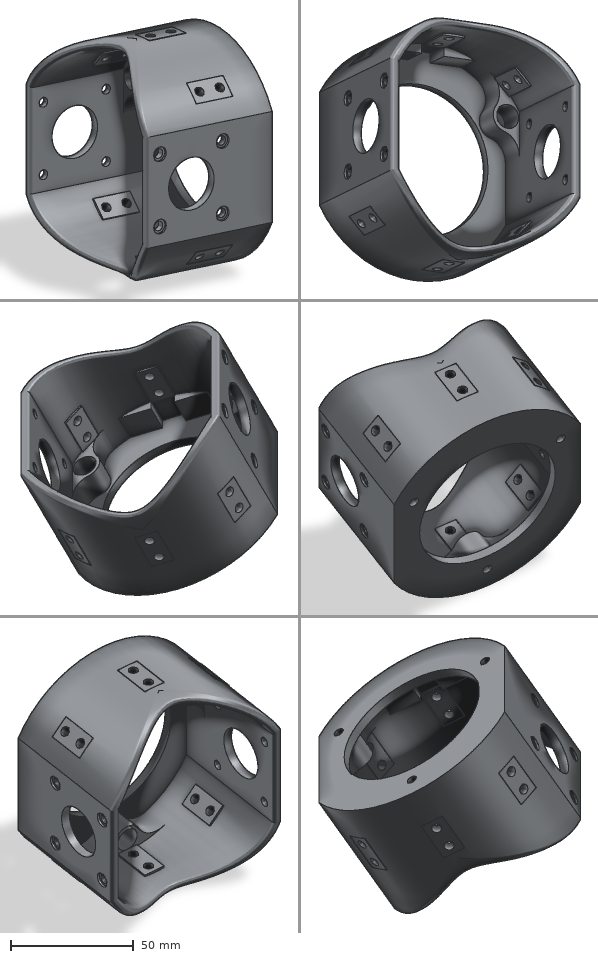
import cadquery as cq
import math

OUTER_RADIUS = 50.0
INNER_RADIUS = 46.0
OUTER_FLAT = 44.0
WALL = OUTER_RADIUS - INNER_RADIUS
INNER_FLAT = OUTER_FLAT - WALL
LENGTH = 62.0
NOSE_RADIUS = OUTER_RADIUS / 2
RIM_FILLET = 1.5

PLATE_THICKNESS = WALL
PLATE_BORE = 64.0

BOSS_ANGLES = (30, 150, 270)
BOSS_CIRCLE_RADIUS = 40.0
BOSS_RADIUS = 6.7
BOSS_BLEND_RADIUS = 10.0
BOSS_HEIGHT = 12.0
BOSS_TOP = PLATE_THICKNESS + BOSS_HEIGHT
BOSS_HOLE = 4.2
BOSS_COUNTERBORE = 10.1
BOSS_COUNTERBORE_DEPTH = BOSS_HEIGHT

PAD_ANGLES = (45, 90, 135, 225, 270, 315)
PAD_WIDTH = 10.0
PAD_LENGTH = 18.0
PAD_MIDDLE = 25.0
PAD_INNER_FACE = 45.0
PAD_OUTER_FACE = OUTER_RADIUS
PAD_HOLE = 4.1
PAD_HOLE_SPACING = 10.0

MOTOR_MIDDLE = 40.0
MOTOR_BORE = 22.5
MOTOR_HOLE = 4.1
MOTOR_HOLE_SPACING = 31.0
MOTOR_COUNTERBORE = 6.2
MOTOR_COUNTERBORE_DEPTH = 1.0

LEDGE_UNDERSIDE = 41.6
LEDGE_GAP = 10.4
LEDGE_DEPTH = BOSS_HEIGHT

TOLERANCE = 0.01


def plane_at(distance):
    """Workplane across the shell, the given distance from its back end, facing the front."""
    return cq.Workplane("XZ", origin=(0, -distance, 0))


def polar(radius, angle):
    """Point at a radius and an angle in radians, in the plane across the shell."""
    return (radius * math.cos(angle), radius * math.sin(angle))


def flatted_bar(radius, flat, start, end):
    """Round bar along the shell axis with its two X sides cut flat."""
    round_bar = plane_at(start).circle(radius).extrude(end - start)
    slab = plane_at(start).rect(2 * flat, 2 * radius).extrude(end - start)
    return round_bar.intersect(slab)


def inner_space(end):
    """Space inside the walls, from the plate to the given distance from the back end."""
    return flatted_bar(INNER_RADIUS, INNER_FLAT, PLATE_THICKNESS, end)


def side_outline():
    """Block with the shell's side shape: square at the back, quarter rounds at the front."""
    block = cq.Workplane("XY").box(
        2 * OUTER_FLAT, LENGTH, 2 * OUTER_RADIUS, centered=(True, False, True)
    )
    return block.translate((0, -LENGTH, 0)).edges("<Y and |X").fillet(NOSE_RADIUS)


def is_near(value, target):
    return abs(value - target) < TOLERANCE


def is_rim_edge(edge, radius, flat):
    """True for a front edge of the +X half that lies on the wall surface of this radius and flat."""
    points = [edge.startPoint(), edge.positionAt(0.5), edge.endPoint()]
    on_wall = all(
        is_near(math.hypot(point.x, point.z), radius) or is_near(point.x, flat)
        for point in points
    )
    nose_start = NOSE_RADIUS - LENGTH
    return on_wall and all(point.y < nose_start + TOLERANCE for point in points)


def shell():
    """Walls and solid plate. One half gets its rim rounded and is then mirrored."""
    body = flatted_bar(OUTER_RADIUS, OUTER_FLAT, 0, LENGTH).intersect(side_outline())
    body = body.cut(inner_space(LENGTH))
    right_space = plane_at(0).center(OUTER_RADIUS / 2, 0).rect(OUTER_RADIUS, 2 * OUTER_RADIUS).extrude(LENGTH)
    half = body.intersect(right_space)
    rim = [
        edge
        for edge in half.edges().vals()
        if is_rim_edge(edge, OUTER_RADIUS, OUTER_FLAT) or is_rim_edge(edge, INNER_RADIUS, INNER_FLAT)
    ]
    half = half.newObject(rim).fillet(RIM_FILLET)
    return half.union(half.mirror("YZ"))


def plate_bore():
    return plane_at(0).circle(PLATE_BORE / 2).extrude(PLATE_THICKNESS)


def boss_center(angle_degrees):
    return polar(BOSS_CIRCLE_RADIUS, math.radians(angle_degrees))


def touches_boss(edge):
    """True for an edge along Y that lies on the side of a boss."""
    middle = edge.positionAt(0.5)
    return any(
        is_near(math.dist((middle.x, middle.z), boss_center(angle)), BOSS_RADIUS)
        for angle in BOSS_ANGLES
    )


def bosses():
    """What the inner space loses to the bosses and to their concave blends into the walls."""
    full_space = inner_space(BOSS_TOP)
    posts = (
        plane_at(PLATE_THICKNESS)
        .pushPoints([boss_center(angle) for angle in BOSS_ANGLES])
        .circle(BOSS_RADIUS)
        .extrude(BOSS_HEIGHT)
    )
    free_space = full_space.cut(posts)
    corners = [edge for edge in free_space.edges("|Y").vals() if touches_boss(edge)]
    return full_space.cut(free_space.newObject(corners).fillet(BOSS_BLEND_RADIUS))


def boss_hole(angle_degrees):
    """Screw hole through boss and plate, counterbored from the boss top down to the plate."""
    center = boss_center(angle_degrees)
    hole = plane_at(0).center(*center).circle(BOSS_HOLE / 2).extrude(BOSS_TOP)
    counterbore = (
        plane_at(BOSS_TOP).center(*center).circle(BOSS_COUNTERBORE / 2).extrude(-BOSS_COUNTERBORE_DEPTH)
    )
    return hole.union(counterbore)


def ledge():
    """Two blocks beside the gap, flat underneath, filling the round of the wall above."""
    height = INNER_RADIUS - LEDGE_UNDERSIDE
    width = INNER_FLAT - LEDGE_GAP / 2
    middle_x = LEDGE_GAP / 2 + width / 2
    middle_z = LEDGE_UNDERSIDE + height / 2
    blocks = (
        plane_at(PLATE_THICKNESS)
        .pushPoints([(-middle_x, middle_z), (middle_x, middle_z)])
        .rect(width, height)
        .extrude(LEDGE_DEPTH)
    )
    return blocks.intersect(inner_space(PLATE_THICKNESS + LEDGE_DEPTH))


def turned(solid, angle_degrees):
    """Turn a solid made along +X to an angle around the shell axis."""
    return solid.rotate((0, 0, 0), (0, 1, 0), -angle_degrees)


def pad(angle_degrees):
    """Block through the round wall that leaves a flat on both sides."""
    block = cq.Workplane("XY").box(
        PAD_OUTER_FACE - PAD_INNER_FACE, PAD_LENGTH, PAD_WIDTH, centered=(False, True, True)
    )
    return turned(block.translate((PAD_INNER_FACE, -PAD_MIDDLE, 0)), angle_degrees)


def pad_holes(angle_degrees):
    holes = (
        cq.Workplane("YZ", origin=(PAD_INNER_FACE, -PAD_MIDDLE, 0))
        .rarray(PAD_HOLE_SPACING, 1, 2, 1)
        .circle(PAD_HOLE / 2)
        .extrude(PAD_OUTER_FACE - PAD_INNER_FACE)
    )
    return turned(holes, angle_degrees)


def motor_mount_cut(angle_degrees):
    """Motor bore and four counterbored screw holes through one flat side."""
    outer_face = cq.Workplane("YZ", origin=(OUTER_FLAT, -MOTOR_MIDDLE, 0))
    bore = outer_face.circle(MOTOR_BORE / 2).extrude(-WALL)
    pattern = outer_face.rarray(MOTOR_HOLE_SPACING, MOTOR_HOLE_SPACING, 2, 2)
    holes = pattern.circle(MOTOR_HOLE / 2).extrude(-WALL)
    counterbores = pattern.circle(MOTOR_COUNTERBORE / 2).extrude(-MOTOR_COUNTERBORE_DEPTH)
    return turned(bore.union(holes).union(counterbores), angle_degrees)


result = shell().union(bosses()).union(ledge())
for pad_angle in PAD_ANGLES:
    result = result.union(pad(pad_angle)).cut(pad_holes(pad_angle))
for boss_angle in BOSS_ANGLES:
    result = result.cut(boss_hole(boss_angle))
for flat_angle in (0, 180):
    result = result.cut(motor_mount_cut(flat_angle))
result = result.cut(plate_bore())